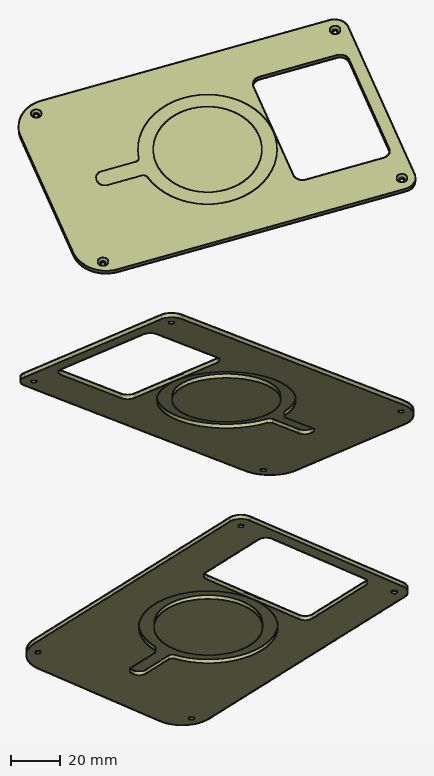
import cadquery as cq

width = 91.8
length = 143.5
thickness = 2.0
top_corner_radius = 5.9
bottom_corner_radius = 14.0

window_width = 56.0
window_length = 41.0
window_center_y = 45.9
window_corner_radius = 3.9

hole_x = 40.3
upper_hole_y = 66.1
lower_hole_y = -62.0
hole_diameter = 2.3
countersink_diameter = 4.3
countersink_angle = 90.0

skin_thickness = 0.23
recess_depth = thickness - skin_thickness
ring_center_y = -2.9
ring_outer_diameter = 56.2
ring_inner_diameter = 43.9
tail_width = 7.5
tail_end_y = -50.4
tail_corner_radius = 3.5
neck_radius = 2.0


def make_plate():
    plate = cq.Workplane("XY").box(width, length, thickness)
    plate = plate.edges("|Z and >Y").fillet(top_corner_radius)
    return plate.edges("|Z and <Y").fillet(bottom_corner_radius)


def make_window():
    window = cq.Workplane("XY").box(window_width, window_length, thickness)
    window = window.edges("|Z").fillet(window_corner_radius)
    return window.translate((0, window_center_y, 0))


def make_magnet_recess():
    floor = cq.Workplane("XY", origin=(0, ring_center_y, -thickness / 2))
    disc = floor.circle(ring_outer_diameter / 2).extrude(recess_depth)
    core = floor.circle(ring_inner_diameter / 2).extrude(recess_depth)

    tail_length = ring_center_y - tail_end_y
    tail = floor.center(0, -tail_length / 2).rect(tail_width, tail_length).extrude(recess_depth)
    tail = tail.edges("|Z and <Y").fillet(tail_corner_radius)
    recess = disc.union(tail)
    neck_edges = cq.selectors.BoxSelector(
        (-tail_width, ring_center_y - ring_outer_diameter / 2, -thickness),
        (tail_width, ring_center_y, thickness),
    )
    recess = recess.edges("|Z").edges(neck_edges).fillet(neck_radius)
    return recess.cut(core)


hole_centers = [(x, y) for x in (-hole_x, hole_x) for y in (lower_hole_y, upper_hole_y)]

result = make_plate().cut(make_window()).cut(make_magnet_recess())
result = (
    result.faces(">Z")
    .workplane(origin=(0, 0, 0))
    .pushPoints(hole_centers)
    .cskHole(hole_diameter, countersink_diameter, countersink_angle)
)